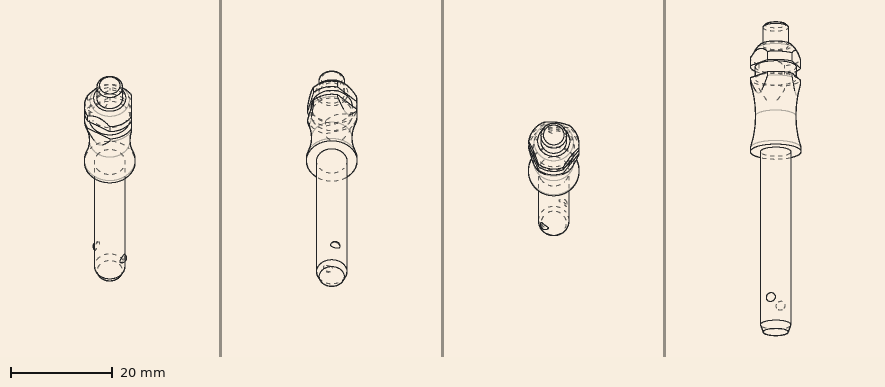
import cadquery as cq
import math

total_height = 63.2

shank_radius = 3.0
tip_radius = 2.45
tip_height = 1.5

ball_radius = 0.95
ball_reach = 3.65
ball_height = 6.3

handle_radius = 5.0
waist_radius = 4.0
neck_radius = 4.05
handle_bottom = 37.1
lower_rim_top = 37.85
waist_height = 44.4
upper_rim_bottom = 51.3
neck_bottom = 52.1
neck_top = 54.55
collar_top = 56.25

shoulder_bottom = 58.15
shoulder_top = 58.9
shoulder_radius = 3.85
shoulder_top_radius = 3.15

button_radius = 2.5
button_chamfer = 0.5

flat_count = 3
flat_distance = 4.3


def flare_middle(end_height):
    """Midpoint of the flare arc that leaves the waist parallel to the axis."""
    rise = end_height - waist_height
    growth = handle_radius - waist_radius
    arc_radius = (rise**2 + growth**2) / (2 * growth)
    half_angle = math.asin(rise / arc_radius) / 2
    return (
        waist_radius + arc_radius * (1 - math.cos(half_angle)),
        waist_height + arc_radius * math.sin(half_angle),
    )


def make_shank():
    return (
        cq.Workplane("XZ")
        .lineTo(tip_radius, 0)
        .lineTo(shank_radius, tip_height)
        .lineTo(shank_radius, waist_height)
        .lineTo(0, waist_height)
        .close()
        .revolve(360, (0, 0), (0, 1))
    )


def make_balls():
    offset = ball_reach - ball_radius
    centers = [(-offset, 0, ball_height), (offset, 0, ball_height)]
    return cq.Workplane("XY").pushPoints(centers).sphere(ball_radius)


def make_handle():
    return (
        cq.Workplane("XZ")
        .moveTo(0, handle_bottom)
        .lineTo(handle_radius, handle_bottom)
        .lineTo(handle_radius, lower_rim_top)
        .threePointArc(flare_middle(lower_rim_top), (waist_radius, waist_height))
        .threePointArc(flare_middle(upper_rim_bottom), (handle_radius, upper_rim_bottom))
        .lineTo(handle_radius, neck_bottom)
        .lineTo(neck_radius, neck_bottom)
        .lineTo(neck_radius, neck_top)
        .lineTo(handle_radius, neck_top)
        .lineTo(handle_radius, collar_top)
        .lineTo(shoulder_radius, shoulder_bottom)
        .tangentArcPoint((shoulder_top_radius, shoulder_top), relative=False)
        .lineTo(0, shoulder_top)
        .close()
        .revolve(360, (0, 0), (0, 1))
    )


def cut_flats(handle):
    """Cut the upper rim and collar flat, starting with the face toward -Y."""
    cut_depth = handle_radius
    cut_width = 2 * handle_radius
    cutter = (
        cq.Workplane("XY")
        .workplane(offset=waist_height)
        .center(0, -flat_distance - cut_depth / 2)
        .rect(cut_width, cut_depth)
        .extrude(shoulder_top - waist_height)
    )
    for index in range(flat_count):
        angle = index * 360 / flat_count
        handle = handle.cut(cutter.rotate((0, 0, 0), (0, 0, 1), angle))
    return handle


def make_button():
    return (
        cq.Workplane("XY")
        .workplane(offset=neck_top)
        .circle(button_radius)
        .extrude(total_height - neck_top)
        .faces(">Z")
        .chamfer(button_chamfer)
    )


result = make_shank().union(make_balls()).union(cut_flats(make_handle())).union(make_button())